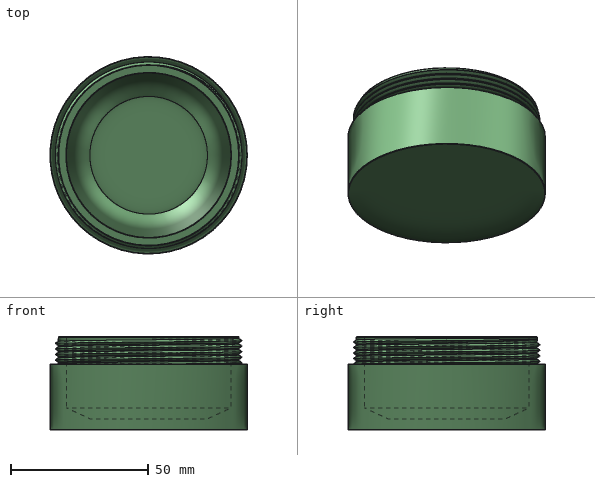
import cadquery as cq
import math

body_radius = 36.0
body_height = 24.0
total_height = 34.0
neck_radius = 66.0 / 2
bore_radius = 60.0 / 2
floor_radius = 21.45
floor_z = 4.0
cone_top_z = 8.0
edge_chamfer = 0.2

pitch = 2.0
crest_height = 1.0
flank_half_width = 0.8
root_overlap = 0.1
full_turns = 4.75
fade_turns = 0.25
thread_start_z = body_height - pitch / 2
thread_start_angle = 90.0


def jar_blank():
    """Revolve the wall and cavity section, including the small edge chamfers."""
    c = edge_chamfer
    section = [
        (0, 0),
        (body_radius - c, 0),
        (body_radius, c),
        (body_radius, body_height - c),
        (body_radius - c, body_height),
        (neck_radius, body_height),
        (neck_radius, total_height - c),
        (neck_radius - c, total_height),
        (bore_radius + c, total_height),
        (bore_radius, total_height - c),
        (bore_radius, cone_top_z),
        (floor_radius, floor_z),
        (0, floor_z),
    ]
    return cq.Workplane("XZ").polyline(section).close().revolve(360, (0, 0), (0, 1))


def helix_edge(radius, start_z, turns, sink):
    """Helix on a cylinder, or on a cone that closes in by sink over its length."""
    rise = pitch * turns
    base = cq.Vector(0, 0, start_z)
    if sink == 0:
        wire = cq.Wire.makeHelix(pitch, rise, radius, base)
    else:
        cone_angle = math.atan2(sink, rise)
        slant = 1 / math.cos(cone_angle)
        taper = -math.degrees(cone_angle)
        wire = cq.Wire.makeHelix(pitch * slant, rise * slant, radius, base, angle=taper)
    return wire.Edges()[0]


def thread_section(start_z, start_angle, turns, sink=0.0):
    """Solid triangular ridge bounded by ruled flanks, with a flat face at each end."""
    crest_radius = neck_radius + crest_height
    base_radius = neck_radius - root_overlap
    base_half_width = flank_half_width * (crest_height + root_overlap) / crest_height
    edges = [
        helix_edge(base_radius, start_z - base_half_width, turns, sink),
        helix_edge(crest_radius, start_z, turns, sink),
        helix_edge(base_radius, start_z + base_half_width, turns, sink),
    ]
    faces = [cq.Face.makeRuledSurface(edges[i - 1], edges[i]) for i in range(3)]
    for position in (0, 1):
        corners = [edge.positionAt(position) for edge in edges]
        outline = cq.Wire.makePolygon(corners, close=True)
        faces.append(cq.Face.makeFromWires(outline))
    ridge = cq.Solid.makeSolid(cq.Shell.makeShell(faces))
    return ridge.rotate(cq.Vector(0, 0, 0), cq.Vector(0, 0, 1), start_angle)


main_thread = thread_section(thread_start_z, thread_start_angle, full_turns)
fade_thread = thread_section(
    thread_start_z + pitch * full_turns,
    thread_start_angle + 360 * full_turns,
    fade_turns,
    sink=crest_height,
)

result = jar_blank().union(main_thread).union(fade_thread)